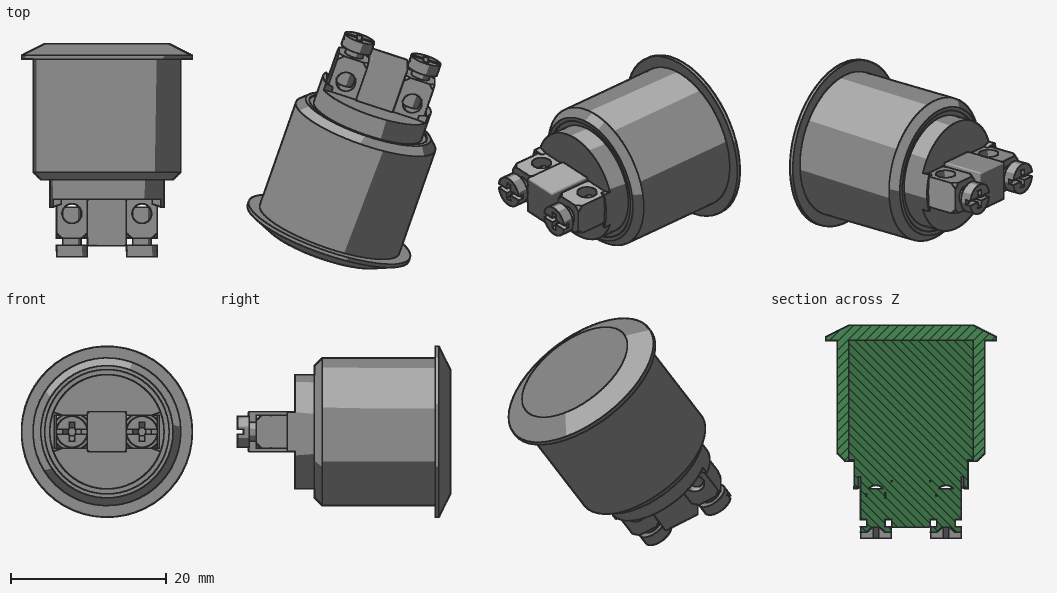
import cadquery as cq
import math


bezel_diameter = 22.0
bezel_face_diameter = 16.0
bezel_thickness = 2.0
bezel_cone_height = 1.5
barrel_diameter = 19.0
barrel_length = 15.5
barrel_chamfer = 1.0
bore_diameter = 16.0

plug_recess = 0.2
boss_diameter = 14.7
boss_height = 2.5
lip_height = 1.0
lip_half_angle = 20.2
lip_inner_radius = 5.5
lip_dish_angle = 19.0

middle_width = 5.0
middle_height = 5.2
middle_length = 6.0
middle_sink = 0.05
middle_fillet = 0.25

terminal_width = 4.0
terminal_height = 4.2
terminal_length = 5.0
terminal_offset = (middle_width + terminal_width) / 2
corner_cut = 0.7
turned_end_diameter = 4.9
pocket_length = 13.5
pocket_clearance = 0.05
pocket_depth = 0.5
wire_hole_diameter = 2.5
wire_hole_distance = 1.85

shank_diameter = 2.4
screw_tip_distance = 1.0
head_diameter = 4.0
head_thickness = 1.5
head_gap = 0.9
slot_width = 0.63
slot_depth = 0.75
cross_depth = 1.4
cross_width = 0.7
cross_length = 2.4
cross_floor_length = 1.0

barrel_back = -barrel_length
boss_back = barrel_back - boss_height
lip_back = boss_back - lip_height
pocket_floor = boss_back + pocket_depth
terminal_back = boss_back - terminal_length
head_front = terminal_back - head_gap
head_back = head_front - head_thickness


def box_between(x_size, y_start, y_end, z_size, x_center=0.0):
    """Box centred on Z = 0 that spans two levels along Y."""
    box = cq.Workplane("XY").box(x_size, abs(y_end - y_start), z_size)
    return box.translate((x_center, (y_start + y_end) / 2, 0))


def cylinder_between(diameter, y_start, y_end):
    """Cylinder along Y from y_start back to y_end, which is lower."""
    plane = cq.Workplane("XZ", origin=(0, y_start, 0))
    return plane.circle(diameter / 2).extrude(y_start - y_end)


def make_case():
    """Barrel with a closed conical bezel and a bore open at the back."""
    barrel_radius = barrel_diameter / 2
    profile = [
        (0, bezel_thickness),
        (bezel_face_diameter / 2, bezel_thickness),
        (bezel_diameter / 2, bezel_thickness - bezel_cone_height),
        (bezel_diameter / 2, 0),
        (barrel_radius, 0),
        (barrel_radius, barrel_back + barrel_chamfer),
        (barrel_radius - barrel_chamfer, barrel_back),
        (bore_diameter / 2, barrel_back),
        (bore_diameter / 2, 0),
        (0, 0),
    ]
    return cq.Workplane("XY").polyline(profile).close().revolve(360, (0, 0), (0, 1))


def make_lips():
    """Two opposite ring sectors on the boss rim, dished toward the axis."""
    outer_radius = boss_diameter / 2
    dish_drop = (outer_radius - lip_inner_radius) * math.tan(math.radians(lip_dish_angle))
    profile = [
        (lip_inner_radius, boss_back),
        (outer_radius, boss_back),
        (outer_radius, lip_back),
        (lip_inner_radius, lip_back + dish_drop),
    ]
    outline = cq.Workplane("XY").polyline(profile).close()
    sector = outline.revolve(2 * lip_half_angle, (0, 0), (0, 1))
    right_lip = sector.rotate((0, 0, 0), (0, 1, 0), -lip_half_angle)
    return right_lip.union(right_lip.mirror("YZ"))


def make_turning(x_center):
    """Round envelope with a conical end that takes off the back corners of a terminal block."""
    corner_radius = math.hypot(terminal_width / 2, terminal_height / 2)
    profile = [
        (0, pocket_floor),
        (corner_radius, pocket_floor),
        (corner_radius, terminal_back + corner_cut),
        (turned_end_diameter / 2, terminal_back),
        (0, terminal_back),
    ]
    envelope = cq.Workplane("XY").polyline(profile).close().revolve(360, (0, 0), (0, 1))
    return envelope.translate((x_center, 0, 0))


def cross_arm(y_start):
    """Outline of a wedge along X, tapering from y_start down to the floor of the cross recess."""
    floor = head_back + cross_depth
    profile = [
        (-cross_length / 2, y_start),
        (cross_length / 2, y_start),
        (cross_floor_length / 2, floor),
        (-cross_floor_length / 2, floor),
    ]
    return cq.Workplane("XY").polyline(profile).close()


def make_screw(x_center):
    """Cheese-head screw with a through slot and a tapered cross recess."""
    shank = cylinder_between(shank_diameter, boss_back - screw_tip_distance, head_front)
    head = cylinder_between(head_diameter, head_front, head_back)
    slot_floor = head_back + slot_depth
    slot = box_between(head_diameter, head_back, slot_floor, slot_width)
    arm_in_slot = cross_arm(slot_floor).extrude(slot_width / 2, both=True)
    arm_across = cross_arm(head_back).extrude(cross_width / 2, both=True)
    arm_across = arm_across.rotate((0, 0, 0), (0, 1, 0), 90)
    screw = shank.union(head).cut(slot).cut(arm_in_slot).cut(arm_across)
    return screw.translate((x_center, 0, 0))


def make_terminal(x_center):
    """Terminal block with a wire hole along Z and its clamping screw."""
    block = box_between(terminal_width, pocket_floor, terminal_back, terminal_height, x_center)
    block = block.intersect(make_turning(x_center))
    hole_center = (x_center, boss_back - wire_hole_distance)
    wire_hole = (
        cq.Workplane("XY").center(*hole_center)
        .circle(wire_hole_diameter / 2).extrude(terminal_height, both=True)
    )
    return block.cut(wire_hole).union(make_screw(x_center))


def make_insert():
    """Contact carrier that fills the case bore, with its terminals."""
    plug_back = barrel_back + plug_recess
    plug = cylinder_between(bore_diameter, 0, plug_back)
    boss = cylinder_between(boss_diameter, plug_back, boss_back)
    pocket_height = terminal_height + 2 * pocket_clearance
    pocket = box_between(pocket_length, pocket_floor, lip_back, pocket_height)
    insert = plug.union(boss).union(make_lips()).cut(pocket)

    middle_back = boss_back - middle_length
    middle = box_between(middle_width, boss_back + middle_sink, middle_back, middle_height)
    insert = insert.union(middle.edges().fillet(middle_fillet))
    middle_root = box_between(middle_width, pocket_floor, boss_back, pocket_height)
    insert = insert.union(middle_root)

    for x_center in (-terminal_offset, terminal_offset):
        insert = insert.union(make_terminal(x_center))
    return insert


case = make_case()
insert = make_insert()

result = cq.Compound.makeCompound([case.val(), insert.val()])